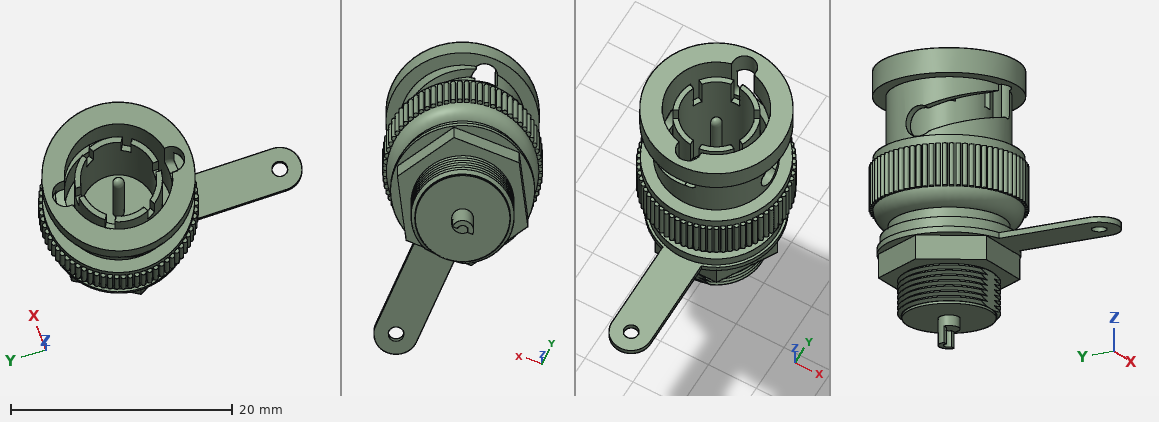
import cadquery as cq
import math


TOP_Z = 26.1
COLLAR_BOTTOM_Z = 23.73
SHOULDER_Z = 17.83
KNURL_TOP_Z = 16.92
KNURL_BOTTOM_Z = 12.92
CAVITY_FLOOR_Z = KNURL_BOTTOM_Z
GRIP_BOTTOM_Z = 11.33
FLANGE_TOP_Z = 10.2
TAG_TOP_Z = 9.2
NUT_TOP_Z = 8.65
NUT_BOTTOM_Z = 6.37
THREAD_BOTTOM_Z = 2.82
SHANK_BOTTOM_Z = 2.58
CUP_STEP_Z = 1.57

COLLAR_RADIUS = 6.95
SLEEVE_RADIUS = 5.72
SLEEVE_BORE_RADIUS = 4.9
GRIP_RADIUS = 6.9
GRIP_FILLET = KNURL_BOTTOM_Z - GRIP_BOTTOM_Z
KNURL_DIAMETER = 14.5
KNURL_RADIUS = KNURL_DIAMETER / 2
RIDGE_RADIUS = 0.23
RIDGE_COUNT = 72

ENTRY_RADIUS = 1.17
ENTRY_CENTER = 5.07
ENTRY_BOTTOM_Z = 20.91
ENTRY_FILLET = 0.45
POCKET_RADIUS = 1.45
POCKET_Z = 19.77
SLOT_HEIGHT = 2.55
SLOT_START_Z = 19.69
SLOT_QUARTER_RISE = 2.45
SLOT_INNER_RADIUS = 4.45
SLOT_OUTER_RADIUS = 6.27

RING_RADIUS = 3.97
RING_BORE_RADIUS = 3.45
RING_TOP_Z = 25.07
RING_SLOT_WIDTH = 0.9
RING_SLOT_BOTTOM_Z = 22.04
RING_SLOT_COUNT = 6
PIN_RADIUS = 0.52
PIN_TOP_Z = 24.15

NECK_RADIUS = 5.54
FLANGE_RADIUS = 6.27
THREAD_ROOT_RADIUS = 4.33
THREAD_CREST_RADIUS = 4.67
THREAD_COUNT = 7
THREAD_PITCH = (NUT_BOTTOM_Z - THREAD_BOTTOM_Z) / THREAD_COUNT
SHANK_TIP_RADIUS = 4.28
SHANK_FLAT_Y = -SHANK_TIP_RADIUS

CUP_RADIUS = 1.0
CUP_BORE_RADIUS = 0.5

TAG_DISC_RADIUS = 6.53
TAG_END_RADIUS = 2.0
TAG_HOLE_RADIUS = 0.7
TAG_HOLE_Y = -15.4

NUT_ACROSS_FLATS = 11.1
NUT_ACROSS_CORNERS = NUT_ACROSS_FLATS / math.cos(math.pi / 6)


def cylinder(radius, bottom, top):
    return cq.Workplane("XY").workplane(offset=bottom).circle(radius).extrude(top - bottom)


def tube(outer_radius, inner_radius, bottom, top):
    return cylinder(outer_radius, bottom, top).cut(cylinder(inner_radius, bottom, top))


def make_bayonet_cutter():
    """One entry on the -Y side, its helical slot and the locking pocket on the -X side."""
    entry = (
        cq.Workplane("XY")
        .workplane(offset=ENTRY_BOTTOM_Z)
        .moveTo(ENTRY_RADIUS, -SLOT_INNER_RADIUS)
        .lineTo(ENTRY_RADIUS, -ENTRY_CENTER)
        .threePointArc((0, -ENTRY_CENTER - ENTRY_RADIUS), (-ENTRY_RADIUS, -ENTRY_CENTER))
        .lineTo(-ENTRY_RADIUS, -SLOT_INNER_RADIUS)
        .close()
        .extrude(TOP_Z - ENTRY_BOTTOM_Z)
        .faces("<Z")
        .edges()
        .fillet(ENTRY_FILLET)
    )
    pocket = (
        cq.Workplane("YZ")
        .workplane(offset=-SLOT_OUTER_RADIUS)
        .center(0, POCKET_Z)
        .circle(POCKET_RADIUS)
        .extrude(SLOT_OUTER_RADIUS - SLOT_INNER_RADIUS)
    )
    slot_middle_radius = (SLOT_INNER_RADIUS + SLOT_OUTER_RADIUS) / 2
    helix = cq.Wire.makeHelix(4 * SLOT_QUARTER_RISE, SLOT_QUARTER_RISE, slot_middle_radius)
    slot = (
        cq.Workplane("XZ")
        .center(slot_middle_radius, 0)
        .rect(SLOT_OUTER_RADIUS - SLOT_INNER_RADIUS, SLOT_HEIGHT)
        .sweep(cq.Workplane(helix), isFrenet=True)
        .rotate((0, 0, 0), (0, 0, 1), 180)
        .translate((0, 0, SLOT_START_Z))
    )
    return entry.union(pocket).union(slot)


def make_sleeve():
    """Collared tube with two opposite bayonet slots."""
    sleeve = cylinder(SLEEVE_RADIUS, SHOULDER_Z, TOP_Z)
    sleeve = sleeve.union(cylinder(COLLAR_RADIUS, COLLAR_BOTTOM_Z, TOP_Z))
    sleeve = sleeve.cut(cylinder(SLEEVE_BORE_RADIUS, SHOULDER_Z, TOP_Z))
    cutter = make_bayonet_cutter()
    for angle in (0, 180):
        sleeve = sleeve.cut(cutter.rotate((0, 0, 0), (0, 0, 1), angle))
    return sleeve


def make_grip():
    """Hollow grip with a rounded lower edge and a ring of round knurl ridges."""
    grip = cylinder(GRIP_RADIUS, GRIP_BOTTOM_Z, SHOULDER_Z).faces("<Z").edges().fillet(GRIP_FILLET)
    ridges = (
        cq.Workplane("XY")
        .workplane(offset=KNURL_BOTTOM_Z)
        .polarArray(KNURL_RADIUS - RIDGE_RADIUS, 0, 360, RIDGE_COUNT)
        .circle(RIDGE_RADIUS)
        .extrude(KNURL_TOP_Z - KNURL_BOTTOM_Z)
    )
    cavity = cylinder(SLEEVE_BORE_RADIUS, CAVITY_FLOOR_Z, SHOULDER_Z)
    return grip.union(ridges).cut(cavity)


def make_contact_ring():
    """Thin ring cut into springy segments by radial slots."""
    ring = tube(RING_RADIUS, RING_BORE_RADIUS, CAVITY_FLOOR_Z, RING_TOP_Z)
    slot_height = RING_TOP_Z - RING_SLOT_BOTTOM_Z
    slot = (
        cq.Workplane("XY")
        .workplane(offset=RING_SLOT_BOTTOM_Z)
        .center(0, RING_RADIUS)
        .rect(RING_SLOT_WIDTH, RING_RADIUS)
        .extrude(slot_height)
    )
    for index in range(RING_SLOT_COUNT):
        ring = ring.cut(slot.rotate((0, 0, 0), (0, 0, 1), index * 360 / RING_SLOT_COUNT))
    return ring


def make_center_pin():
    """Pin with a hemispherical tip."""
    dome_z = PIN_TOP_Z - PIN_RADIUS
    dome = cq.Workplane("XY").sphere(PIN_RADIUS).translate((0, 0, dome_z))
    return cylinder(PIN_RADIUS, CAVITY_FLOOR_Z, dome_z).union(dome)


def make_shank():
    """Neck reaching up into the grip, flange and ring-threaded shank with a flat on its -Y side."""
    profile = (
        cq.Workplane("XZ")
        .moveTo(0, CAVITY_FLOOR_Z)
        .lineTo(NECK_RADIUS, CAVITY_FLOOR_Z)
        .lineTo(NECK_RADIUS, FLANGE_TOP_Z)
        .lineTo(FLANGE_RADIUS, FLANGE_TOP_Z)
        .lineTo(FLANGE_RADIUS, TAG_TOP_Z)
        .lineTo(THREAD_ROOT_RADIUS, TAG_TOP_Z)
        .lineTo(THREAD_ROOT_RADIUS, NUT_BOTTOM_Z)
    )
    for index in range(THREAD_COUNT):
        ridge_top = NUT_BOTTOM_Z - index * THREAD_PITCH
        profile = profile.lineTo(THREAD_CREST_RADIUS, ridge_top - THREAD_PITCH / 2)
        profile = profile.lineTo(THREAD_ROOT_RADIUS, ridge_top - THREAD_PITCH)
    shank = (
        profile.lineTo(SHANK_TIP_RADIUS, THREAD_BOTTOM_Z)
        .lineTo(SHANK_TIP_RADIUS, SHANK_BOTTOM_Z)
        .lineTo(0, SHANK_BOTTOM_Z)
        .close()
        .revolve(360, (0, 0, 0), (0, 1, 0))
    )
    flat_cutter = (
        cq.Workplane("XY")
        .box(2 * FLANGE_RADIUS, FLANGE_RADIUS, NUT_BOTTOM_Z - SHANK_BOTTOM_Z, centered=(True, False, False))
        .translate((0, SHANK_FLAT_Y - FLANGE_RADIUS, SHANK_BOTTOM_Z))
    )
    return shank.cut(flat_cutter)


def make_solder_cup():
    """Round stub whose lower end is a half cylinder with a solder groove."""
    cup = cylinder(CUP_RADIUS, 0, SHANK_BOTTOM_Z)
    front_half = (
        cq.Workplane("XY")
        .box(2 * CUP_RADIUS, CUP_RADIUS, CUP_STEP_Z, centered=(True, False, False))
        .translate((0, -CUP_RADIUS, 0))
    )
    return cup.cut(front_half).cut(cylinder(CUP_BORE_RADIUS, 0, CUP_STEP_Z))


def make_plug():
    plug = make_grip()
    for part in (make_sleeve(), make_contact_ring(), make_center_pin(), make_shank(), make_solder_cup()):
        plug = plug.union(part)
    return plug


def make_solder_tag():
    """Flat washer with a long round-ended arm toward -Y."""
    thickness = TAG_TOP_Z - NUT_TOP_Z
    arm = (
        cq.Workplane("XY")
        .workplane(offset=NUT_TOP_Z)
        .moveTo(-TAG_END_RADIUS, 0)
        .lineTo(-TAG_END_RADIUS, TAG_HOLE_Y)
        .threePointArc((0, TAG_HOLE_Y - TAG_END_RADIUS), (TAG_END_RADIUS, TAG_HOLE_Y))
        .lineTo(TAG_END_RADIUS, 0)
        .close()
        .extrude(thickness)
    )
    hole = cylinder(TAG_HOLE_RADIUS, NUT_TOP_Z, TAG_TOP_Z).translate((0, TAG_HOLE_Y, 0))
    tag = cylinder(TAG_DISC_RADIUS, NUT_TOP_Z, TAG_TOP_Z).union(arm)
    return tag.cut(cylinder(THREAD_ROOT_RADIUS, NUT_TOP_Z, TAG_TOP_Z)).cut(hole)


def make_nut():
    return (
        cq.Workplane("XY")
        .workplane(offset=NUT_BOTTOM_Z)
        .polygon(6, NUT_ACROSS_CORNERS)
        .circle(THREAD_ROOT_RADIUS)
        .extrude(NUT_TOP_Z - NUT_BOTTOM_Z)
    )


plug = make_plug()
solder_tag = make_solder_tag()
nut = make_nut()

result = cq.Compound.makeCompound([plug.val(), solder_tag.val(), nut.val()])